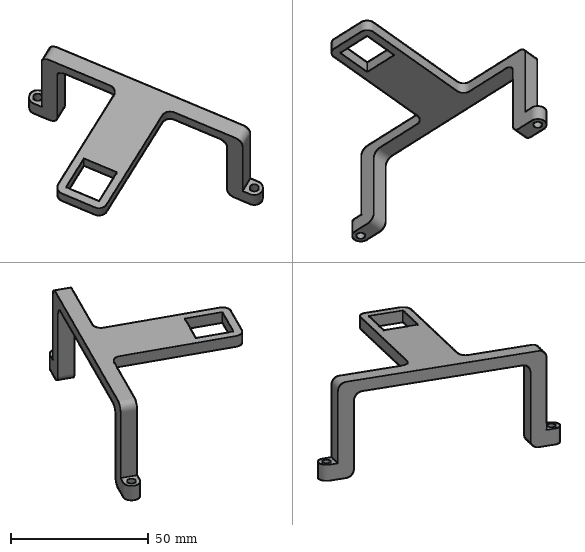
import cadquery as cq

length = 95.0
depth = 57.2
height = 38.1

bar_width = 6.4
plate_thickness = 4.75
leg_span = 82.3
corner_radius = bar_width / 2
hole_diameter = 3.2

arm_width = 19.9
window_width = 13.5
window_length = 14.3
window_end_wall = 3.2

half_opening = leg_span / 2 - bar_width
plate_bottom = height - plate_thickness
back = bar_width / 2
front = -bar_width / 2
arm_end = back - depth
margin = 0.95


def centred_box(width, y_min, y_max, z_min, z_max):
    """Box symmetric about X = 0, between the given Y and Z limits."""
    return (
        cq.Workplane("XY", origin=(0, (y_min + y_max) / 2, z_min))
        .box(width, y_max - y_min, z_max - z_min, centered=(True, True, False))
    )


def make_frame():
    """Beam on two legs, with an outward foot at the base of each leg."""
    bridge = centred_box(leg_span, front, back, 0, height)
    bridge = bridge.edges("|Y and >Z").fillet(corner_radius)

    opening = centred_box(2 * half_opening, front, back, 0, plate_bottom)
    opening = opening.edges("|Y and >Z").fillet(corner_radius)
    bridge = bridge.cut(opening)

    feet = cq.Workplane("XY").slot2D(length, bar_width).extrude(bar_width)
    feet = feet.cut(centred_box(2 * half_opening, front, back, 0, bar_width))
    frame = bridge.union(feet)

    inner_bottom_edges = cq.selectors.BoxSelector(
        (-half_opening - margin, front - margin, -margin),
        (half_opening + margin, back + margin, margin),
    )
    return frame.edges("|Y").edges(inner_bottom_edges).fillet(corner_radius)


def make_arm():
    """Flat arm reaching forward from the beam, with a window near its end."""
    arm = centred_box(arm_width, arm_end, 0, plate_bottom, height)
    arm = arm.edges("|Z and <Y").fillet(corner_radius)
    window_start = arm_end + window_end_wall
    window = centred_box(
        window_width, window_start, window_start + window_length, plate_bottom, height
    )
    return arm.cut(window)


def fillet_arm_root(body):
    """Blend the arm sides into the front face of the beam."""
    reach = arm_width / 2 + margin
    root_edges = cq.selectors.BoxSelector(
        (-reach, front - margin, plate_bottom),
        (reach, front + margin, height),
    )
    return body.edges("|Z").edges(root_edges).fillet(corner_radius)


def make_foot_holes():
    """Vertical through holes concentric with the rounded foot ends."""
    hole_x = length / 2 - corner_radius
    return (
        cq.Workplane("XY")
        .pushPoints([(-hole_x, 0), (hole_x, 0)])
        .circle(hole_diameter / 2)
        .extrude(bar_width)
    )


body = fillet_arm_root(make_frame().union(make_arm()))
result = body.cut(make_foot_holes())